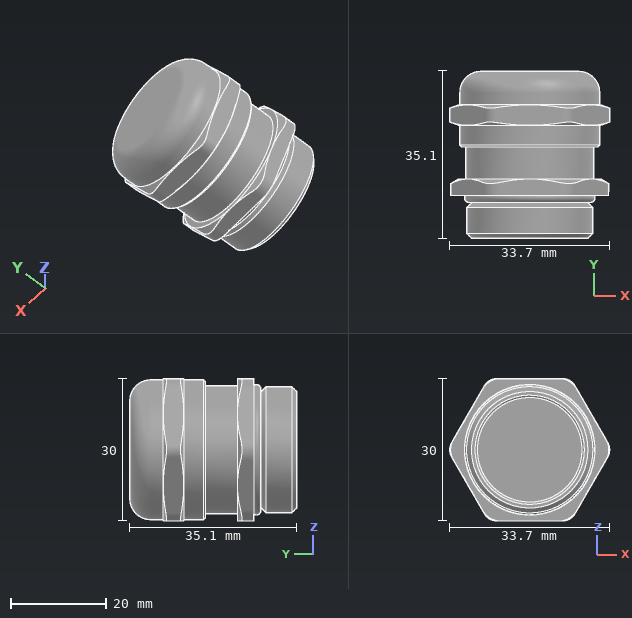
import cadquery as cq
import math

total_length = 35.15
across_flats = 30.0

thread_diameter = 26.58
thread_end_diameter = 24.5
thread_chamfer = (thread_diameter - thread_end_diameter) / 2
thread_end = 7.52
bore_diameter = 22.0
bore_depth = 6.55
bore_chamfer = 0.5

ring_diameter = 27.5
ring_end = 9.0
ring_tube_radius = 1.0

lower_hex_end = 12.48
lower_corner_radius = 4.4
lower_bevel_angle = 30.0

neck_diameter = 27.0
cap_diameter = 29.5
cap_start = 19.15
cap_edge_chamfer = 0.45
dome_radius = 4.45

upper_hex_start = 23.7
upper_hex_end = 28.15
upper_corner_radius = 3.02
upper_bevel_angle = 20.0

bevel_outer_radius = 0.6 * total_length


def cylinder(diameter, start, end):
    """Solid cylinder on the Y axis between two positions."""
    plane = cq.Plane(origin=(0, start, 0), xDir=(1, 0, 0), normal=(0, 1, 0))
    return cq.Workplane(plane).circle(diameter / 2).extrude(end - start)


def hex_collar(start, end, corner_radius):
    """Hexagonal prism with horizontal flats and rounded corners."""
    plane = cq.Plane(origin=(0, start, 0), xDir=(1, 0, 0), normal=(0, 1, 0))
    across_corners = across_flats / math.cos(math.radians(30))
    prism = cq.Workplane(plane).polygon(6, across_corners).extrude(end - start)
    return prism.edges("|Y").fillet(corner_radius)


def bevel_cutter(face, inner_radius, angle, direction):
    """Conical wedge ring that bevels a collar face; direction is the face's outward Y sign."""
    drop = (bevel_outer_radius - inner_radius) * math.tan(math.radians(angle))
    profile = [
        (inner_radius, face),
        (bevel_outer_radius, face),
        (bevel_outer_radius, face - direction * drop),
    ]
    return cq.Workplane("XY").polyline(profile).close().revolve(360, (0, 0, 0), (0, 1, 0))


thread = cylinder(thread_diameter, 0, thread_end).edges().chamfer(thread_chamfer)

ring_core = cylinder(thread_end_diameter, thread_end, ring_end)
ring_centre_radius = ring_diameter / 2 - ring_tube_radius
ring_section = cq.Workplane("XY").center(ring_centre_radius, thread_end + ring_tube_radius)
ring_section = ring_section.circle(ring_tube_radius)
ring = ring_section.revolve(360, (-ring_centre_radius, 0, 0), (-ring_centre_radius, 1, 0))

lower_hex = hex_collar(ring_end, lower_hex_end, lower_corner_radius)
lower_hex = lower_hex.cut(bevel_cutter(lower_hex_end, across_flats / 2, lower_bevel_angle, 1))
neck = cylinder(neck_diameter, lower_hex_end, cap_start)

cap = cylinder(cap_diameter, cap_start, total_length)
cap = cap.faces(">Y").edges().fillet(dome_radius)
cap = cap.faces("<Y").edges().chamfer(cap_edge_chamfer)
upper_hex = hex_collar(upper_hex_start, upper_hex_end, upper_corner_radius)
for face, direction in ((upper_hex_start, -1), (upper_hex_end, 1)):
    upper_hex = upper_hex.cut(bevel_cutter(face, cap_diameter / 2, upper_bevel_angle, direction))

body = thread.union(ring_core).union(ring).union(lower_hex).union(neck).union(cap).union(upper_hex)

bore = cylinder(bore_diameter, 0, bore_depth)
mouth_profile = [
    (0, 0),
    (bore_diameter / 2 + bore_chamfer, 0),
    (bore_diameter / 2, bore_chamfer),
    (0, bore_chamfer),
]
mouth = cq.Workplane("XY").polyline(mouth_profile).close().revolve(360, (0, 0, 0), (0, 1, 0))

result = body.cut(bore).cut(mouth)